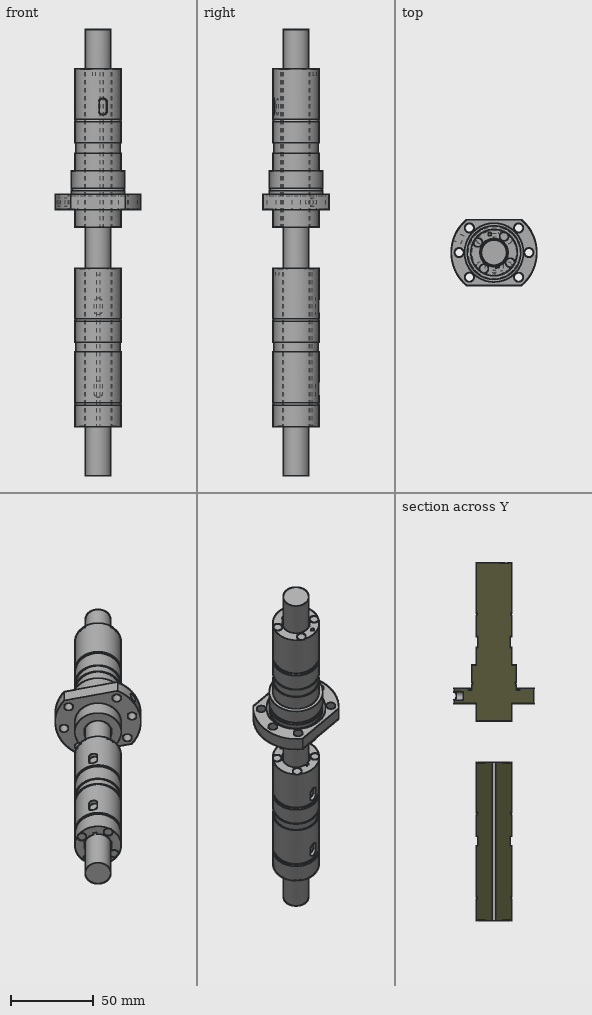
import cadquery as cq
import math

SHAFT_LENGTH = 270.0
SHAFT_CLEARANCE = 0.62

NUT_LENGTH = 95.8
NUT_RADIUS = 14.0
BORE_RADIUS = 8.5
NECK_RADIUS = 13.5
GROOVE_STEP = 0.5
GROOVE_CONE = 1.5

UPPER_GROOVE_DEPTH = 30.5
NECK_DEPTH = 44.8

FLANGED_NUT_TOP = 246.2
FLANGED_NECK_HEIGHT = 6.5
BAND_LENGTH = 10.5
COLLAR_RADIUS = 16.2
COLLAR_GROOVE_DEPTH = 72.4
FLANGE_TOP_DEPTH = 76.0
FLANGE_THICKNESS = 9.5
FLANGE_DIAMETER = 51.8
FLANGE_WIDTH = 40.0
FLANGE_RECESS_RADIUS = 17.8
FLANGE_RECESS_DEPTH = 1.0
BOLT_CIRCLE_RADIUS = 21.0
BOLT_HOLE_DIAMETER = 5.5
BOLT_ANGLES = [0, 45, 135, 180, 225, 315]
OIL_HOLE_DIAMETER = 5.0
OIL_HOLE_DEPTH = 5.0
OIL_HOLE_ANGLE = 157.5

PLAIN_NUT_TOP = 125.5
PLAIN_NECK_HEIGHT = 5.7
LOWER_GROOVE_DEPTH = 81.3

SLOT_LENGTH = 10.0
SLOT_WIDTH = 5.0
SLOT_DEPTH = 2.5
SLOT_CENTRE_DEPTH = 23.0

RECESS_COUNT = 4
RECESS_DIAMETER = 5.5
RECESS_FIRST_ANGLE = 45
RECESS_DEPTH = 0.4
FACE_CIRCLE_DIAMETER = 23.0
PIN_HOLE_DIAMETER = 2.02
PIN_HOLE_DEPTH = 4.0
NOTCH_WIDTH = 2.0
NOTCH_RADIUS = 9.5

CUT_MARGIN = 2.7

FLANGED_NUT_ANGLE = 283
PLAIN_NUT_ANGLE = 90


def polar(radius, angle):
    """Point at a radius and an angle in degrees."""
    return (radius * math.cos(math.radians(angle)), radius * math.sin(math.radians(angle)))


def disc(radius, top, bottom):
    """Solid cylinder on the Z axis between two depths below a nut's top face."""
    return cq.Workplane("XY").workplane(offset=-bottom).circle(radius).extrude(bottom - top)


def turned_ring(outer_radius, inner_profile):
    """Ring to cut from a nut, from the outside down to a profile of (radius, depth) points."""
    clear_radius = outer_radius + CUT_MARGIN
    first_depth = inner_profile[0][1]
    last_depth = inner_profile[-1][1]
    points = [(clear_radius, first_depth), *inner_profile, (clear_radius, last_depth)]
    outline = [(radius, -depth) for radius, depth in points]
    return cq.Workplane("XZ").polyline(outline).close().revolve(360, (0, 0), (0, 1))


def seal_groove(outer_radius, depth):
    """Groove with a square upper wall and a cone leading back out."""
    floor_radius = outer_radius - GROOVE_STEP
    return turned_ring(
        outer_radius,
        [(outer_radius, depth), (floor_radius, depth), (outer_radius, depth + GROOVE_CONE)],
    )


def neck(height):
    """Ring that cuts the waist between the two halves of a nut."""
    return turned_ring(NUT_RADIUS, [(NECK_RADIUS, NECK_DEPTH), (NECK_RADIUS, NECK_DEPTH + height)])


def bore():
    """Through bore with a notch on the keyway side."""
    hole = disc(BORE_RADIUS, 0, NUT_LENGTH)
    notch = (
        cq.Workplane("XY").workplane(offset=-NUT_LENGTH)
        .center(NOTCH_RADIUS / 2, 0).rect(NOTCH_RADIUS, NOTCH_WIDTH).extrude(NUT_LENGTH)
    )
    return hole.union(notch)


def keyway(depth):
    """Round-ended slot cut into the +X side, centred at a depth below the top face."""
    return (
        cq.Workplane("YZ").workplane(offset=NUT_RADIUS - SLOT_DEPTH).center(0, -depth)
        .slot2D(SLOT_LENGTH, SLOT_WIDTH, 90).extrude(2 * SLOT_DEPTH)
    )


def face_recesses(top):
    """Shallow round recesses that just break through the nut's rim."""
    centres = [polar(FACE_CIRCLE_DIAMETER / 2, RECESS_FIRST_ANGLE + i * 360 / RECESS_COUNT)
               for i in range(RECESS_COUNT)]
    return (
        cq.Workplane("XY").workplane(offset=-top - RECESS_DEPTH)
        .pushPoints(centres).circle(RECESS_DIAMETER / 2).extrude(RECESS_DEPTH)
    )


def pin_hole():
    """Small blind hole in the top face, opposite the keyway."""
    return disc(PIN_HOLE_DIAMETER / 2, 0, PIN_HOLE_DEPTH).translate((-FACE_CIRCLE_DIAMETER / 2, 0, 0))


def place(nut, angle, top):
    """Turn a nut about Z and lift its top face to its height."""
    return nut.rotate((0, 0, 0), (0, 0, 1), angle).translate((0, 0, top))


def cut_common_details(nut, neck_height):
    """Cuts that both nuts share."""
    nut = nut.cut(bore()).cut(neck(neck_height))
    nut = nut.cut(seal_groove(NUT_RADIUS, UPPER_GROOVE_DEPTH))
    return nut.cut(keyway(SLOT_CENTRE_DEPTH)).cut(pin_hole()).cut(face_recesses(0))


def make_shaft():
    return cq.Workplane("XY").circle(BORE_RADIUS - SHAFT_CLEARANCE).extrude(SHAFT_LENGTH)


def make_flange():
    bottom = FLANGE_TOP_DEPTH + FLANGE_THICKNESS
    plate = disc(FLANGE_DIAMETER / 2, FLANGE_TOP_DEPTH, bottom)
    flats = cq.Workplane("XY").box(FLANGE_DIAMETER, FLANGE_WIDTH, 2 * bottom)
    bolt_holes = (
        cq.Workplane("XY").workplane(offset=-bottom)
        .pushPoints([polar(BOLT_CIRCLE_RADIUS, angle) for angle in BOLT_ANGLES])
        .circle(BOLT_HOLE_DIAMETER / 2).extrude(FLANGE_THICKNESS)
    )
    recess = disc(FLANGE_RECESS_RADIUS, FLANGE_TOP_DEPTH, FLANGE_TOP_DEPTH + FLANGE_RECESS_DEPTH)
    oil_hole = (
        cq.Workplane("YZ").workplane(offset=FLANGE_DIAMETER / 2 - OIL_HOLE_DEPTH)
        .center(0, -FLANGE_TOP_DEPTH - FLANGE_THICKNESS / 2)
        .circle(OIL_HOLE_DIAMETER / 2).extrude(2 * OIL_HOLE_DEPTH)
        .rotate((0, 0, 0), (0, 0, 1), OIL_HOLE_ANGLE)
    )
    return plate.intersect(flats).cut(bolt_holes).cut(recess).cut(oil_hole)


def make_flanged_nut():
    collar_top = NECK_DEPTH + FLANGED_NECK_HEIGHT + BAND_LENGTH
    collar = disc(COLLAR_RADIUS, collar_top, FLANGE_TOP_DEPTH + FLANGE_THICKNESS)
    collar = collar.cut(seal_groove(COLLAR_RADIUS, COLLAR_GROOVE_DEPTH))
    sleeve = disc(NUT_RADIUS, 0, NUT_LENGTH)
    flange = make_flange().rotate((0, 0, 0), (0, 0, 1), -FLANGED_NUT_ANGLE)
    nut = sleeve.union(collar).union(flange)
    nut = cut_common_details(nut, FLANGED_NECK_HEIGHT)
    return place(nut, FLANGED_NUT_ANGLE, FLANGED_NUT_TOP)


def make_plain_nut():
    nut = cut_common_details(disc(NUT_RADIUS, 0, NUT_LENGTH), PLAIN_NECK_HEIGHT)
    nut = nut.cut(seal_groove(NUT_RADIUS, LOWER_GROOVE_DEPTH))
    nut = nut.cut(keyway(NUT_LENGTH - SLOT_CENTRE_DEPTH))
    nut = nut.cut(face_recesses(NUT_LENGTH - RECESS_DEPTH))
    return place(nut, PLAIN_NUT_ANGLE, PLAIN_NUT_TOP)


shaft = make_shaft()
flanged_nut = make_flanged_nut()
plain_nut = make_plain_nut()

result = cq.Compound.makeCompound([shaft.val(), flanged_nut.val(), plain_nut.val()])